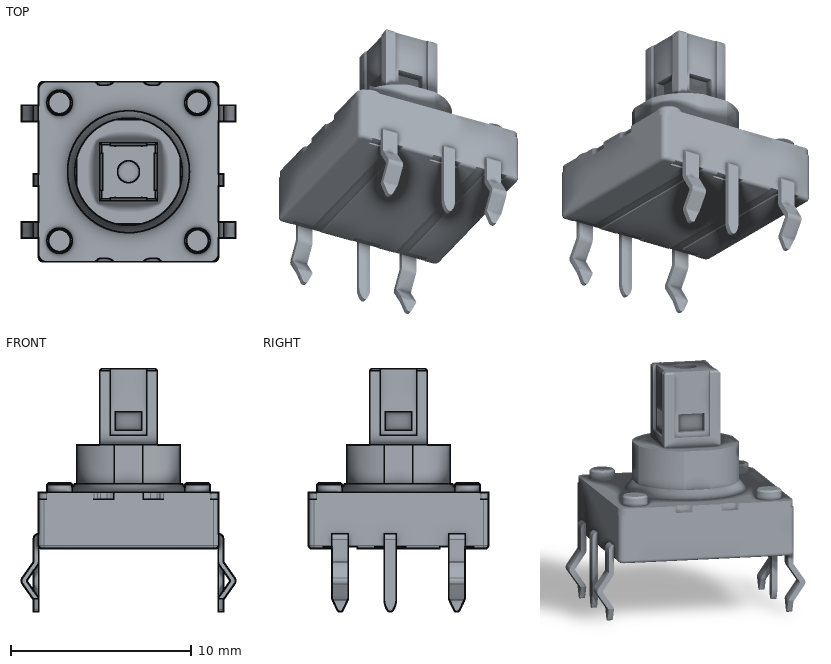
import cadquery as cq
import math


housing_side = 10.0
housing_half = housing_side / 2
housing_bottom = 3.51
plate_bottom = 6.25
plate_top = 6.63
housing_corner_radius = 0.3
housing_base_radius = 0.19
plate_corner_radius = 0.45

notch_depth = 0.19
notch_inner_edge = 0.82
notch_floor_start = 1.2
notch_floor_end = 1.58
notch_bend = 1.73
notch_outer_edge = 1.92

post_pitch = 7.65
post_radius = 0.7
post_top = 7.15
post_chamfer = 0.1

neck_base_radius = 3.39
neck_top = 7.1
collar_radius = 2.98
collar_across_flats = 5.75
collar_top = 9.27

stem_side = 3.2
stem_top = 13.5
stem_chamfer = 0.11
flute_width = 2.04
flute_depth = 0.16
flute_bottom = 9.8
window_width = 1.48
window_height = 1.03
window_bottom = 10.07
window_depth = 0.49
dimple_radius = 0.61
dimple_depth = 0.2

lead_span = 11.9
lead_thickness = 0.3
lead_inner_x = 4.98
lead_top = 4.33
kink_top = 2.77
kink_bottom = 0.68
kink_bend_radius = 0.1
snap_lead_width = 0.9
snap_lead_y = 3.24
snap_tip_start = 0.72
snap_tip_width = 0.35
snap_tip_height = 0.14
center_lead_width = 0.68
center_lead_y = -0.46
center_tip_start = 0.61
center_tip_width = 0.3
center_tip_height = 0.08
center_tip_bulge = 0.04

relief_depth = 0.1
relief_reach = 0.5
snap_relief_width = 1.89
center_relief_width = 1.7
channel_width = 0.7


def block(x_size, y_size, bottom, top):
    """Box centred on the Z axis between two heights."""
    return (
        cq.Workplane("XY")
        .workplane(offset=bottom)
        .rect(x_size, y_size)
        .extrude(top - bottom)
    )


def cylinder(radius, bottom, top):
    """Cylinder on the Z axis between two heights."""
    return cq.Workplane("XY").workplane(offset=bottom).circle(radius).extrude(top - bottom)


def make_housing():
    housing = block(housing_side, housing_side, housing_bottom, plate_bottom)
    housing = housing.edges("|Z").fillet(housing_corner_radius)
    return housing.faces("<Z").edges().fillet(housing_base_radius)


def cut_reliefs(housing):
    """Shallow pockets around the leads and two channels running across the underside."""
    relief_top = housing_bottom + relief_depth
    pockets = [
        (snap_lead_y, snap_relief_width),
        (-snap_lead_y, snap_relief_width),
        (center_lead_y, center_relief_width),
    ]
    for y, width in pockets:
        pocket = block(2 * relief_reach, width, housing_bottom, relief_top)
        for side in (-1, 1):
            housing = housing.cut(pocket.translate((side * housing_half, y, 0)))
    channel = block(housing_side, channel_width, housing_bottom, relief_top)
    channel_y = snap_lead_y - snap_relief_width / 2 + channel_width / 2
    for side in (-1, 1):
        housing = housing.cut(channel.translate((0, side * channel_y, 0)))
    return housing


def make_plate_notch():
    """Notch on the +X half of the -Y edge: plain arc inside, S-curve outside."""
    edge_y = -housing_half
    floor_y = edge_y + notch_depth
    bend_share = (notch_bend - notch_floor_end) / (notch_outer_edge - notch_floor_end)
    bend_y = floor_y - notch_depth * bend_share
    inner_run = notch_floor_start - notch_inner_edge
    inner_radius = (inner_run**2 + notch_depth**2) / (2 * notch_depth)
    return (
        cq.Workplane("XY")
        .workplane(offset=plate_bottom)
        .moveTo(notch_floor_start, floor_y)
        .lineTo(notch_floor_end, floor_y)
        .tangentArcPoint((notch_bend, bend_y), relative=False)
        .tangentArcPoint((notch_outer_edge, edge_y), relative=False)
        .lineTo(notch_inner_edge, edge_y)
        .radiusArc((notch_floor_start, floor_y), inner_radius)
        .close()
        .extrude(plate_top - plate_bottom)
    )


def make_plate():
    plate = block(housing_side, housing_side, plate_bottom, plate_top)
    plate = plate.edges("|Z").fillet(plate_corner_radius)
    notch = make_plate_notch()
    notch_pair = notch.union(notch.mirror("YZ"))
    return plate.cut(notch_pair).cut(notch_pair.mirror("XZ"))


def make_posts():
    post = cylinder(post_radius, plate_top, post_top).faces(">Z").chamfer(post_chamfer)
    positions = cq.Workplane("XY").rect(post_pitch, post_pitch, forConstruction=True).vertices()
    return positions.eachpoint(lambda place: post.val().moved(place), combine=True)


def make_collar():
    neck = (
        cq.Workplane("XY")
        .workplane(offset=plate_top)
        .circle(neck_base_radius)
        .workplane(offset=neck_top - plate_top)
        .circle(collar_radius)
        .loft()
    )
    flats = block(collar_across_flats, collar_across_flats, neck_top, collar_top)
    return neck.union(cylinder(collar_radius, neck_top, collar_top).intersect(flats))


def make_stem():
    stem = block(stem_side, stem_side, collar_top, stem_top)
    stem = stem.faces(">Z").edges().chamfer(stem_chamfer)
    flute = block(flute_width, 2 * flute_depth, flute_bottom, stem_top)
    window_reach = flute_depth + window_depth
    window = block(window_width, 2 * window_reach, window_bottom, window_bottom + window_height)
    recess = flute.union(window).translate((0, -stem_side / 2, 0))
    for turn in range(4):
        stem = stem.cut(recess.rotate((0, 0, 0), (0, 0, 1), 90 * turn))
    return stem.cut(cylinder(dimple_radius, stem_top - dimple_depth, stem_top))


def straight_profile():
    """XZ outline of a straight lead on the +X side, rounded where it enters the housing."""
    outer_x = lead_inner_x + lead_thickness
    return (
        cq.Workplane("XZ")
        .moveTo(lead_inner_x, 0)
        .lineTo(outer_x, 0)
        .lineTo(outer_x, lead_top - lead_thickness)
        .radiusArc((lead_inner_x, lead_top), -lead_thickness)
        .close()
    )


def make_kinked_strip():
    """Snap-in lead before its tip is shaped; its kink is one lead thickness throughout."""
    outer_x = lead_inner_x + lead_thickness
    inner_apex_x = lead_span / 2 - lead_thickness
    apex_z = (kink_top + kink_bottom) / 2
    slope = math.atan2(inner_apex_x - lead_inner_x, (kink_top - kink_bottom) / 2)
    mitre = lead_thickness * math.tan(slope / 2)
    normal_x = lead_thickness * math.cos(slope)
    normal_z = lead_thickness * math.sin(slope)
    strip = (
        cq.Workplane("XZ")
        .moveTo(lead_inner_x, 0)
        .lineTo(outer_x, 0)
        .lineTo(outer_x, kink_bottom)
        .lineTo(inner_apex_x + normal_x, apex_z - normal_z)
        .threePointArc((lead_span / 2, apex_z), (inner_apex_x + normal_x, apex_z + normal_z))
        .lineTo(outer_x, kink_top)
        .lineTo(outer_x, lead_top - lead_thickness)
        .radiusArc((lead_inner_x, lead_top), -lead_thickness)
        .lineTo(lead_inner_x, kink_top - mitre)
        .lineTo(inner_apex_x, apex_z)
        .lineTo(lead_inner_x, kink_bottom + mitre)
        .close()
        .extrude(snap_lead_width / 2, both=True)
    )
    bends = [
        (outer_x, kink_top, kink_bend_radius),
        (outer_x, kink_bottom, kink_bend_radius),
        (lead_inner_x, kink_top - mitre, kink_bend_radius + lead_thickness),
        (lead_inner_x, kink_bottom + mitre, kink_bend_radius + lead_thickness),
    ]
    for x, z, radius in bends:
        bend_edge = cq.selectors.NearestToPointSelector((x, 0, z))
        strip = strip.edges("|Y").edges(bend_edge).fillet(radius)
    return strip


def tip_outline(width, tip_start, tip_width, tip_height, bulge=0):
    """Solid with the tapered, round-ended YZ silhouette of a lead; bulge curves the taper."""
    half = width / 2
    half_tip = tip_width / 2
    taper_middle_y = (half + half_tip) / 2 + bulge
    taper_middle_z = (tip_start + tip_height) / 2
    outline = cq.Workplane("YZ").moveTo(-half, lead_top).lineTo(-half, tip_start)
    if bulge:
        outline = outline.threePointArc((-taper_middle_y, taper_middle_z), (-half_tip, tip_height))
    else:
        outline = outline.lineTo(-half_tip, tip_height)
    outline = outline.threePointArc((0, 0), (half_tip, tip_height))
    if bulge:
        outline = outline.threePointArc((taper_middle_y, taper_middle_z), (half, tip_start))
    else:
        outline = outline.lineTo(half, tip_start)
    return outline.lineTo(half, lead_top).close().extrude(lead_span)


def make_leads():
    snap_lead = make_kinked_strip().intersect(
        tip_outline(snap_lead_width, snap_tip_start, snap_tip_width, snap_tip_height)
    )
    center_lead = straight_profile().extrude(center_lead_width / 2, both=True)
    center_lead = center_lead.intersect(
        tip_outline(
            center_lead_width, center_tip_start, center_tip_width, center_tip_height, center_tip_bulge
        )
    )
    leads = center_lead.translate((0, center_lead_y, 0))
    for side in (-1, 1):
        leads = leads.union(snap_lead.translate((0, side * snap_lead_y, 0)))
    return leads.union(leads.mirror("YZ"))


result = (
    cut_reliefs(make_housing())
    .union(make_plate())
    .union(make_posts())
    .union(make_collar())
    .union(make_stem())
    .union(make_leads())
)